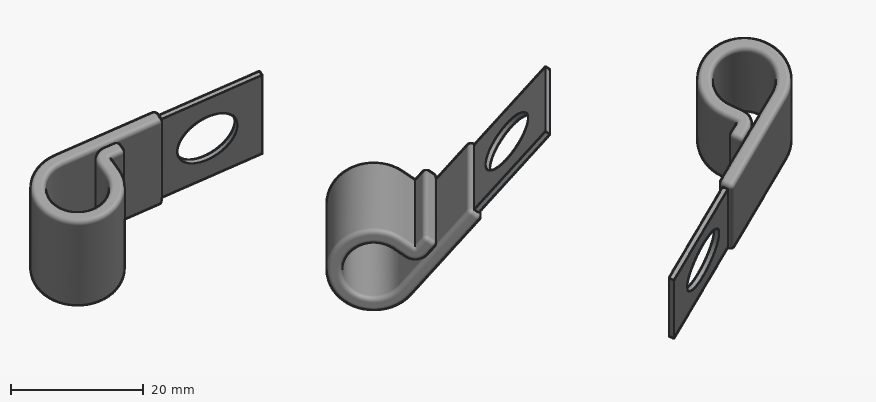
import cadquery as cq

total_length = 42.05
loop_diameter = 14.25
cushion_width = 20.55

cushion_thickness = 2.4
edge_radius = 0.75

strap_length = 17.5
hook_length = 2.52

tab_hole_diameter = 10.35
tab_hole_from_end = 9.45

loop_radius = loop_diameter / 2
loop_mid_radius = loop_radius - cushion_thickness / 2
tab_thickness = cushion_thickness - 2 * edge_radius
tab_width = cushion_width - 2 * edge_radius
tab_end_y = total_length - loop_radius

strap_x = -loop_mid_radius
hook_x = strap_x + cushion_thickness
hook_corner_x = hook_x + cushion_thickness / 2


def strip_leg(x, start_y, length):
    """Straight strip along +Y with rounded long edges and a rounded free end."""
    return (
        cq.Workplane("XY")
        .box(cushion_thickness, length, cushion_width, centered=(True, False, True))
        .edges("|Y or >Y")
        .fillet(edge_radius)
        .translate((x, start_y, 0))
    )


def strip_profile():
    """Rounded cross-section of the strip."""
    return cq.Sketch().rect(cushion_thickness, cushion_width).vertices().fillet(edge_radius)


def strip_bend(mid_radius, angle):
    """Strip bent about the Z axis, running counter-clockwise from the -X side."""
    return (
        cq.Workplane("XZ", origin=(-mid_radius, 0, 0))
        .placeSketch(strip_profile())
        .revolve(angle, (mid_radius, 0), (mid_radius, 1))
    )


def mounting_tab():
    """Bare metal band running through the strap and out to the bolt hole."""
    return (
        cq.Workplane("XY")
        .box(tab_thickness, tab_end_y, tab_width, centered=(True, False, True))
        .translate((strap_x, 0, 0))
        .cut(
            cq.Workplane("YZ", origin=(strap_x, tab_end_y - tab_hole_from_end, 0))
            .circle(tab_hole_diameter / 2)
            .extrude(tab_thickness, both=True)
        )
    )


strap = strip_leg(strap_x, 0, strap_length)

loop = strip_bend(loop_mid_radius, 270)

link = (
    cq.Workplane("YZ", origin=(hook_corner_x, loop_mid_radius, 0))
    .placeSketch(strip_profile())
    .extrude(-hook_corner_x)
)

hook_bend = strip_bend(cushion_thickness / 2, 90).translate((hook_corner_x, loop_radius, 0))

hook = strip_leg(hook_x, loop_radius, hook_length)

result = strap.union(loop).union(link).union(hook_bend).union(hook).union(mounting_tab())